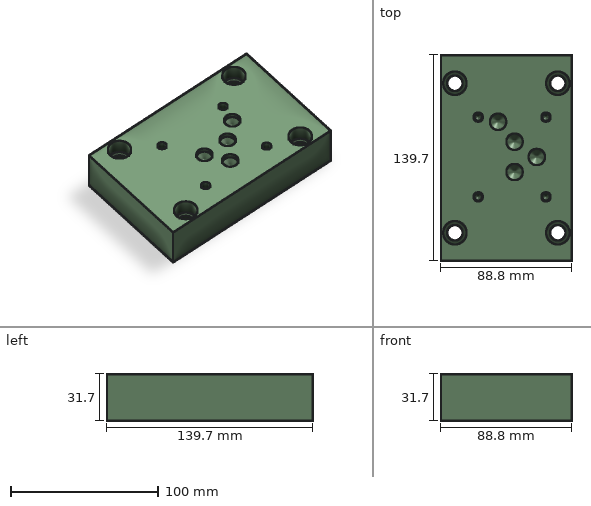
import cadquery as cq
import math

WIDTH = 88.8
LENGTH = 139.7
HEIGHT = 31.7

FIXING_SPACING_X = 69.8
FIXING_SPACING_Y = 101.4
FIXING_DIAMETER = 10.3
FIXING_HEAD_DIAMETER = 15.9
FIXING_HEAD_DEPTH = 12.0

THREAD_PATTERN_CENTRE = (3.9, 0.7)
THREAD_SPACING_X = 46.0
THREAD_SPACING_Y = 54.0
THREAD_DIAMETER = 6.3
THREAD_DEPTH = 15.4
CORE_DIAMETER = 5.2
CORE_DEPTH = 18.2

PORT_DIAMETER = 11.2
PORT_DEPTH = 3.4
PORT_CENTRES = [(-5.6, 24.6), (5.6, 11.0), (20.7, 0.7), (5.6, -9.5)]

DRILL_POINT_ANGLE = 118.0


def corner_points(spacing_x, spacing_y, centre=(0, 0)):
    """Corners of a rectangle about the given centre."""
    return [
        (centre[0] + side_x * spacing_x / 2, centre[1] + side_y * spacing_y / 2)
        for side_x in (-1, 1)
        for side_y in (-1, 1)
    ]


def drilling(diameter, depth, centre):
    """Blind drilling from the top face; the conical tip lies below the given depth."""
    radius = diameter / 2
    tip_height = radius / math.tan(math.radians(DRILL_POINT_ANGLE / 2))
    half_profile = (
        cq.Workplane("XZ")
        .moveTo(0, 0)
        .lineTo(radius, 0)
        .lineTo(radius, -depth)
        .lineTo(0, -depth - tip_height)
        .close()
    )
    return half_profile.revolve(360, (0, 0), (0, 1)).translate((*centre, HEIGHT))


result = (
    cq.Workplane("XY")
    .box(WIDTH, LENGTH, HEIGHT, centered=(True, True, False))
    .faces(">Z")
    .workplane()
    .pushPoints(corner_points(FIXING_SPACING_X, FIXING_SPACING_Y))
    .cboreHole(FIXING_DIAMETER, FIXING_HEAD_DIAMETER, FIXING_HEAD_DEPTH)
)

for point in PORT_CENTRES:
    result = result.cut(drilling(PORT_DIAMETER, PORT_DEPTH, point))

thread_points = corner_points(THREAD_SPACING_X, THREAD_SPACING_Y, THREAD_PATTERN_CENTRE)
for point in thread_points:
    result = result.cut(drilling(CORE_DIAMETER, CORE_DEPTH, point))

result = (
    result.faces(">Z")
    .workplane(origin=(0, 0, HEIGHT))
    .pushPoints(thread_points)
    .hole(THREAD_DIAMETER, THREAD_DEPTH)
)